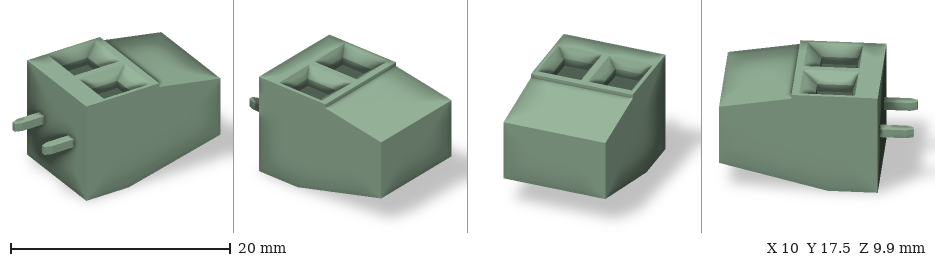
import cadquery as cq


total_length = 17.53
body_width = 10.01
body_height = 9.9
pin_length = 3.05
body_length = total_length - pin_length

way_count = 2
way_pitch = 5.0
way_centres = [(way - (way_count - 1) / 2) * way_pitch for way in range(way_count)]

raised_top_length = 7.87
top_step = 0.39
back_top_drop = 1.55
flat_bottom_length = 4.58
back_bottom_rise = 2.47

mouth_width = 4.31
mouth_length = 5.08
mouth_front = 2.1
front_taper = 0.42
back_taper = 1.35
side_taper = 0.75
funnel_depth = 1.0
well_depth = 0.75
well_width = mouth_width - 2 * side_taper
well_length = mouth_length - front_taper - back_taper

pin_width = 0.88
pin_thickness = 0.82
pin_tip_width = 0.4
pin_tip_length = 0.65
pin_centre_height = 5.07


def make_body():
    """Side profile in Y and Z, extruded across the full width."""
    profile = [
        (0, 0),
        (flat_bottom_length, 0),
        (body_length, back_bottom_rise),
        (body_length, body_height - back_top_drop),
        (raised_top_length, body_height - top_step),
        (raised_top_length, body_height),
        (0, body_height),
    ]
    return cq.Workplane("YZ").polyline(profile).close().extrude(body_width / 2, both=True)


def make_pocket(centre_x):
    """Tapered funnel with a straight-sided well below it."""
    mouth_centre_y = mouth_front + mouth_length / 2
    well_centre_y = mouth_front + front_taper + well_length / 2
    funnel = (
        cq.Workplane("XY", origin=(centre_x, mouth_centre_y, body_height))
        .rect(mouth_width, mouth_length)
        .workplane(offset=-funnel_depth)
        .center(0, well_centre_y - mouth_centre_y)
        .rect(well_width, well_length)
        .loft(ruled=True)
    )
    well = (
        cq.Workplane("XY", origin=(centre_x, well_centre_y, body_height - funnel_depth))
        .rect(well_width, well_length)
        .extrude(-well_depth)
    )
    return funnel.union(well)


def make_pin(centre_x):
    """Flat pin whose end narrows to a blunt tip."""
    outline = [
        (-pin_width / 2, 0),
        (-pin_width / 2, pin_tip_length - pin_length),
        (-pin_tip_width / 2, -pin_length),
        (pin_tip_width / 2, -pin_length),
        (pin_width / 2, pin_tip_length - pin_length),
        (pin_width / 2, 0),
    ]
    return (
        cq.Workplane("XY", origin=(centre_x, 0, pin_centre_height))
        .polyline(outline)
        .close()
        .extrude(pin_thickness / 2, both=True)
    )


result = make_body()
for way_x in way_centres:
    result = result.cut(make_pocket(way_x)).union(make_pin(way_x))